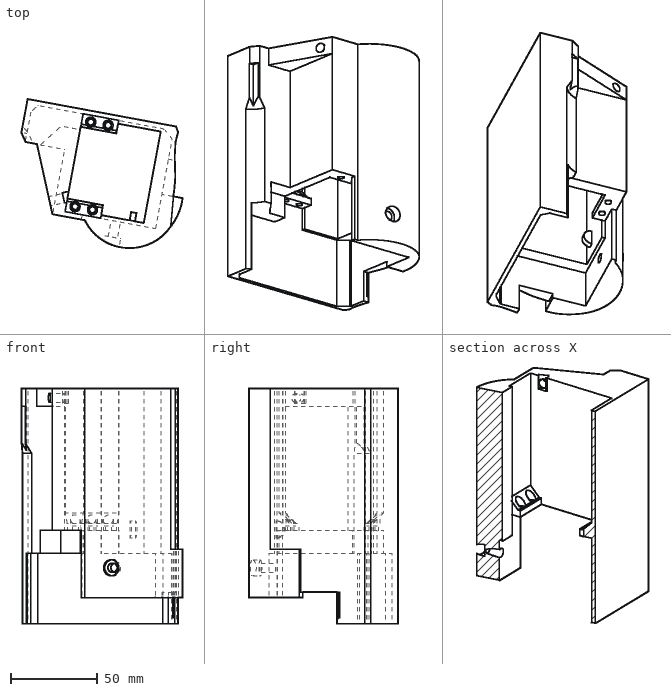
import cadquery as cq
import math

TURN = -10.5
HEIGHT = 136.7
OVERCUT = 1.4
OUTSIDE = 109.3

CORNER_START = 20.0
CORNER_WIDTH = 3.4
BLOCK_DEPTH = 24.9
LIP_START = (10.1, BLOCK_DEPTH)
LIP_END = (26.4, 63.3)
FRONT_DEPTH = LIP_END[1]
BARREL_START = (45.5, FRONT_DEPTH)
BARREL_LOWEST = (70.5, 74.9)
BARREL_SIDE = (95.3, 57.8)
COLLAR_LEDGE = (93.6, 40.2)
COLLAR_TIP = (99.1, 40.2)
GRIP_POINTS = [
    COLLAR_LEDGE,
    (93.3, 35.0),
    (92.5, 28.3),
    (90.9, 21.9),
    (89.9, 16.0),
    (89.1, 9.3),
    (89.5, 3.1),
]
BACK_END = (87.7, 0)

COLLAR_TOP = 43.3
PLATE_BOTTOM = 126.3
SHAFT_BOTTOM = 41.0
RECESS_FLOOR = 54.3
FRONT_BOTTOM = 15.2
SIDE_BOTTOM = 18.3

SHAFT_LEFT = 33.3
SHAFT_RIGHT = 79.4
SHAFT_BACK = 4.6
SHAFT_FRONT = 58.5

FLANGE_RIGHT = 54.4
GROOVE_BACK = 2.6
GROOVE_FRONT = 60.4
FLANGE_REACH = 7.8
FLANGE_EDGE = 1.6
FLANGE_THICKNESS = 4.1
FLANGE_RISE = 6.2
FLANGE_HOLES = (38.5, 48.8)
FLANGE_HOLE_SETBACK = 4.0
FLANGE_HOLE = 3.5
FLANGE_COUNTERBORE = 5.7
FLANGE_SEAT = 1.4

RECESS_RIGHT = LIP_END[0]
PASSAGE_LEFT = 12.0
PASSAGE_BEND = 21.9
PASSAGE_DEPTH = 11.9
FRONT_WALL_LEFT = 43.3
BAY_LEFT = 3.1
BAY_BACK = GROOVE_BACK
BAY_RIGHT = 86.6
BAY_LEFT_CORNER = [(BAY_LEFT, 7.1), (5.9, 3.3), (6.5, BAY_BACK)]
BAY_RIGHT_CORNER = [(80.2, BAY_BACK), (81.9, 3.4), (86.2, 7.1), (BAY_RIGHT, 8.0)]
BAY_FRONT = 60.4
SIDE_WALL_END = 19.4
LEFT_WALL_END = 18.2

RELIEF_WIDTH = 7.1
RELIEF_START = 16.4
RELIEF_SAG = 0.1
RELIEF_TOP = 99.0
TAPER_TOP = 105.2
NOTCH_WIDTH = 3.0
NOTCH_START = 19.7
TAB_LEFT = 71.1
TAB_WIDTH = 3.3
TAB_RADIUS = 4.9
TAB_LEVEL = 55.0
BARREL_HOLE_AT = (63.1, 32.5)
BARREL_HOLE = 5.5
BARREL_COUNTERBORE = 9.3
COUNTERBORE_FLOOR = 69.8
LIP_HOLE = 5.5
LIP_HOLE_ALONG = 33.8
LIP_HOLE_LEVEL = 131.2
NUT_POCKET_START = 8.3
NUT_POCKET_LENGTH = 3.4
NUT_POCKET_WIDTH = 6.0
NUT_POCKET_FLOOR = 128.0
SLOT_LEFT = 89.2
SLOT_WIDTH = 1.1
SLOT_DEPTH = 1.4
SLOT_BOTTOM = 3.5


def at(point):
    """Turn (along, depth) into X, Y."""
    along, depth = point
    return (along, -depth)


def prism(points, bottom, top):
    """Upright prism over a polygon of (along, depth) points."""
    outline = cq.Workplane("XY").workplane(offset=bottom).polyline([at(p) for p in points]).close()
    return outline.extrude(top - bottom)


def block(left, right, back, front, bottom, top):
    """Upright box between two distances along the back face and two depths."""
    return prism([(left, back), (right, back), (right, front), (left, front)], bottom, top)


def body():
    """Full-height outline with the barrel in front and the collar low on its right."""
    main = (
        cq.Workplane("XY")
        .moveTo(0, 0)
        .lineTo(*at((0, CORNER_START)))
        .lineTo(*at((CORNER_WIDTH, BLOCK_DEPTH)))
        .lineTo(*at(LIP_START))
        .lineTo(*at(LIP_END))
        .lineTo(*at(BARREL_START))
        .threePointArc(at(BARREL_LOWEST), at(BARREL_SIDE))
        .lineTo(*at(GRIP_POINTS[0]))
        .spline([at(p) for p in GRIP_POINTS[1:]], includeCurrent=True)
        .lineTo(*at(BACK_END))
        .close()
        .extrude(HEIGHT)
    )
    collar = (
        cq.Workplane("XY")
        .moveTo(*at(COLLAR_LEDGE))
        .lineTo(*at(BARREL_SIDE))
        .lineTo(*at(BARREL_LOWEST))
        .threePointArc(at(BARREL_SIDE), at(COLLAR_TIP))
        .close()
        .extrude(COLLAR_TOP)
    )
    return main.union(collar)


def shaft():
    """Square shaft from the top down to the lower bay, with the two flange grooves."""
    square = block(SHAFT_LEFT, SHAFT_RIGHT, SHAFT_BACK, SHAFT_FRONT, SHAFT_BOTTOM, HEIGHT)
    grooves = block(SHAFT_LEFT, FLANGE_RIGHT, GROOVE_BACK, GROOVE_FRONT, SHAFT_BOTTOM, HEIGHT)
    return square.union(grooves)


def side_recess():
    """Recess under the top plate, in front of the left block."""
    front = FRONT_DEPTH + OVERCUT
    recess = block(-OVERCUT, RECESS_RIGHT, BLOCK_DEPTH, front, SHAFT_BOTTOM, PLATE_BOTTOM)
    passage = prism(
        [
            (PASSAGE_LEFT, front),
            (PASSAGE_LEFT, BLOCK_DEPTH),
            (PASSAGE_BEND, PASSAGE_DEPTH),
            (FRONT_WALL_LEFT, PASSAGE_DEPTH),
            (FRONT_WALL_LEFT, front),
        ],
        SHAFT_BOTTOM,
        RECESS_FLOOR,
    )
    return recess.union(passage)


def lower_bay():
    """Wide bay below the shaft, open at the bottom and to the front left."""
    bay = prism(
        BAY_LEFT_CORNER + BAY_RIGHT_CORNER + [(BAY_RIGHT, BAY_FRONT), (BAY_LEFT, BAY_FRONT)],
        0,
        SHAFT_BOTTOM,
    )
    opening = block(-OVERCUT, FRONT_WALL_LEFT, LEFT_WALL_END, OUTSIDE, 0, SHAFT_BOTTOM)
    side_gap = block(-OVERCUT, OUTSIDE, SIDE_WALL_END, OUTSIDE, 0, FRONT_BOTTOM)
    side_step = block(-OVERCUT, OUTSIDE, SIDE_WALL_END, COLLAR_LEDGE[1], 0, SIDE_BOTTOM)
    return bay.union(opening).union(side_gap).union(side_step)


def corner_relief():
    """Hollow front corner of the left block, tapering up into a square notch."""

    def relief(width, start, level):
        depth = BLOCK_DEPTH - start
        middle = (width * (0.5 + RELIEF_SAG), start + depth * (0.5 - RELIEF_SAG))
        return (
            cq.Workplane("XY")
            .workplane(offset=level)
            .moveTo(*at((0, start)))
            .threePointArc(at(middle), at((width, BLOCK_DEPTH)))
            .lineTo(*at((width, BLOCK_DEPTH + OVERCUT)))
            .lineTo(*at((-OVERCUT, BLOCK_DEPTH + OVERCUT)))
            .lineTo(*at((-OVERCUT, start)))
            .close()
        )

    straight = relief(RELIEF_WIDTH, RELIEF_START, 0).extrude(RELIEF_TOP)
    low_wire = relief(RELIEF_WIDTH, RELIEF_START, RELIEF_TOP).wire().val()
    high_wire = relief(NOTCH_WIDTH, NOTCH_START, TAPER_TOP).wire().val()
    taper = cq.Workplane(cq.Solid.makeLoft([low_wire, high_wire], True))
    notch = block(-OVERCUT, NOTCH_WIDTH, NOTCH_START, BLOCK_DEPTH + OVERCUT, RELIEF_TOP, PLATE_BOTTOM)
    return straight.union(taper).union(notch)


def flange(wall, inward):
    """Sloped screw flange on a groove wall; inward is +1 toward the front, -1 toward the back."""
    edge = wall + inward * FLANGE_REACH
    slope_end = edge - inward * FLANGE_EDGE
    low_top = RECESS_FLOOR + FLANGE_THICKNESS
    profile = [
        (-wall, RECESS_FLOOR),
        (-edge, RECESS_FLOOR),
        (-edge, low_top),
        (-slope_end, low_top),
        (-wall, low_top + FLANGE_RISE),
    ]
    length = FLANGE_RIGHT - SHAFT_LEFT
    solid = cq.Workplane("YZ").workplane(offset=SHAFT_LEFT).polyline(profile).close().extrude(length)
    axis_depth = wall + inward * FLANGE_HOLE_SETBACK
    holes = [at((along, axis_depth)) for along in FLANGE_HOLES]
    drill = cq.Workplane("XY").workplane(offset=RECESS_FLOOR).pushPoints(holes)
    through = drill.circle(FLANGE_HOLE / 2).extrude(FLANGE_THICKNESS + FLANGE_RISE)
    seats = (
        cq.Workplane("XY")
        .workplane(offset=low_top - FLANGE_SEAT)
        .pushPoints(holes)
        .circle(FLANGE_COUNTERBORE / 2)
        .extrude(FLANGE_SEAT + FLANGE_RISE)
    )
    return solid.cut(through).cut(seats)


def tab():
    """Half-round tab on the front wall of the shaft."""
    disc = cq.Workplane("YZ").workplane(offset=TAB_LEFT).center(-SHAFT_FRONT, TAB_LEVEL)
    return disc.circle(TAB_RADIUS).extrude(TAB_WIDTH)


def barrel_hole():
    """Counterbored screw hole from the barrel into the lower bay."""
    front = BARREL_LOWEST[1] + OVERCUT
    back = BAY_FRONT - OVERCUT
    axis = cq.Workplane("XZ").workplane(offset=back).center(*BARREL_HOLE_AT)
    through = axis.circle(BARREL_HOLE / 2).extrude(front - back)
    seat = cq.Workplane("XZ").workplane(offset=COUNTERBORE_FLOOR).center(*BARREL_HOLE_AT)
    return through.union(seat.circle(BARREL_COUNTERBORE / 2).extrude(front - COUNTERBORE_FLOOR))


def lip_hole():
    """Cross hole through the slanted edge of the top plate, ending in a nut pocket at the shaft."""
    run = (LIP_END[0] - LIP_START[0], LIP_END[1] - LIP_START[1])
    length = math.hypot(*run)
    along_x = run[0] / length
    along_depth = run[1] / length
    start = (LIP_START[0] + along_x * LIP_HOLE_ALONG, -LIP_START[1] - along_depth * LIP_HOLE_ALONG)
    entry = cq.Plane(
        origin=(start[0], start[1], LIP_HOLE_LEVEL),
        xDir=(-along_x, along_depth, 0),
        normal=(along_depth, along_x, 0),
    )
    reach = NUT_POCKET_START + NUT_POCKET_LENGTH
    hole = cq.Workplane(entry).circle(LIP_HOLE / 2).extrude(reach)
    ceiling = HEIGHT - LIP_HOLE_LEVEL
    floor = NUT_POCKET_FLOOR - LIP_HOLE_LEVEL
    pocket = (
        cq.Workplane(entry)
        .workplane(offset=NUT_POCKET_START)
        .center(0, (ceiling + floor) / 2)
        .rect(NUT_POCKET_WIDTH, ceiling - floor)
        .extrude(NUT_POCKET_LENGTH)
    )
    return hole.union(pocket)


def end_slot():
    """Narrow slot in the front end of the low right wall."""
    back = SIDE_WALL_END - SLOT_DEPTH
    return block(SLOT_LEFT, SLOT_LEFT + SLOT_WIDTH, back, SIDE_WALL_END, SLOT_BOTTOM, SIDE_BOTTOM)


part = body().cut(shaft()).cut(side_recess()).cut(lower_bay()).cut(corner_relief())
part = part.union(flange(GROOVE_BACK, 1)).union(flange(GROOVE_FRONT, -1)).union(tab())
part = part.cut(barrel_hole()).cut(lip_hole()).cut(end_slot())
result = part.rotate((0, 0, 0), (0, 0, 1), TURN)